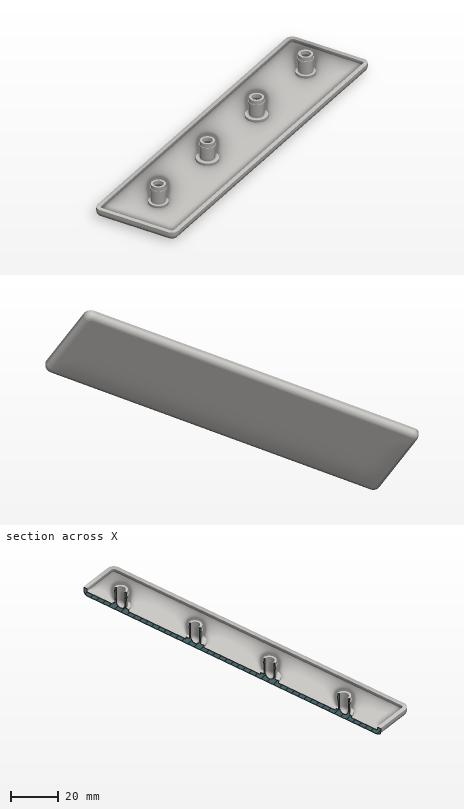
import cadquery as cq

length = 160.0
width = 40.0
tray_height = 4.0
corner_radius = 3.2
bottom_radius = 2.4
rim_width = 2.0
floor_thickness = 2.4

stud_count = 4
stud_pitch = length / stud_count
stud_top = 12.0
neck_diameter = 6.2
stud_diameter = 6.4
collar_diameter = 6.9
collar_bottom = 9.0
collar_top = 10.0
neck_top = 7.2
end_flange_diameter = 8.6
middle_flange_diameter = 10.0
flange_height = 1.1

bore_diameter = 4.5
bore_tip = 2.4


def make_tray():
    body = (
        cq.Workplane("XY")
        .box(width, length, tray_height, centered=(True, True, False))
        .edges("|Z")
        .fillet(corner_radius)
        .faces("<Z")
        .edges()
        .fillet(bottom_radius)
    )
    recess = (
        cq.Workplane("XY")
        .workplane(offset=floor_thickness)
        .rect(width - 2 * rim_width, length - 2 * rim_width)
        .extrude(tray_height - floor_thickness)
        .edges("|Z")
        .fillet(corner_radius - rim_width)
    )
    return body.cut(recess)


def make_stud(flange_diameter):
    """Revolved stud with its foot flange, narrow neck and collar, rooted at the tray floor."""
    neck_radius = neck_diameter / 2
    stud_radius = stud_diameter / 2
    collar_radius = collar_diameter / 2
    flange_radius = flange_diameter / 2
    flange_top = floor_thickness + flange_height
    outline = [
        (0, floor_thickness),
        (flange_radius, floor_thickness),
        (flange_radius, flange_top),
        (neck_radius, flange_top),
        (neck_radius, neck_top),
        (stud_radius, neck_top),
        (stud_radius, collar_bottom),
        (collar_radius, collar_bottom),
        (collar_radius, collar_top),
        (stud_radius, collar_top),
        (stud_radius, stud_top),
        (0, stud_top),
    ]
    return cq.Workplane("XZ").polyline(outline).close().revolve(360, (0, 0), (0, 1))


def make_bore():
    bore_radius = bore_diameter / 2
    dome_centre = bore_tip + bore_radius
    shaft = cq.Workplane("XY").workplane(offset=dome_centre).circle(bore_radius).extrude(stud_top - dome_centre)
    dome = cq.Workplane("XY").sphere(bore_radius).translate((0, 0, dome_centre))
    return shaft.union(dome)


result = make_tray()
for index in range(stud_count):
    y = (index - (stud_count - 1) / 2) * stud_pitch
    is_end_stud = index in (0, stud_count - 1)
    flange_diameter = end_flange_diameter if is_end_stud else middle_flange_diameter
    result = result.union(make_stud(flange_diameter).translate((0, y, 0)))
    result = result.cut(make_bore().translate((0, y, 0)))